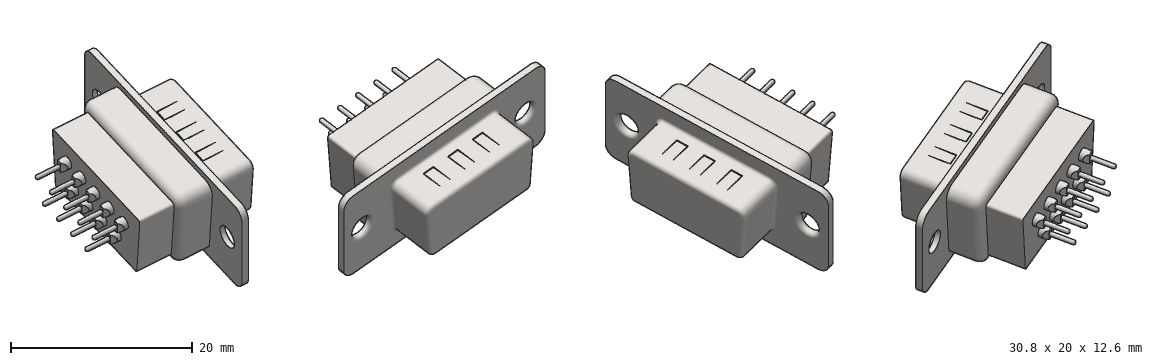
import cadquery as cq
import math


FLANGE_WIDTH = 30.8
FLANGE_HEIGHT = 12.55
FLANGE_THICKNESS = 0.85
FLANGE_CORNER = 1.48
MOUNT_HOLE_DIAMETER = 2.77
MOUNT_HOLE_SPACING = 25.0
MOUNT_HOLE_ROUNDING = 0.5

BODY_X = -0.05

D_SLOPE = math.radians(4.0)

SHELL_TOP_WIDTH = 16.5
SHELL_HEIGHT = 7.95
SHELL_LENGTH = 5.85
SHELL_TOP_CORNER = 1.02
SHELL_BOTTOM_CORNER = 0.75
SHELL_RIM_FILLET = 0.5
SHELL_ROOT_FILLET = 0.37

RECESS_COUNT = 3
RECESS_PITCH = 3.75
RECESS_WIDTH = 1.5
RECESS_LENGTH = 2.68
RECESS_START = 1.35
RECESS_DEPTH = 0.15

HOUSING_TOP_WIDTH = 19.5
HOUSING_HEIGHT = 10.9
HOUSING_LENGTH = 4.35
HOUSING_TOP_CORNER = 1.42
HOUSING_BOTTOM_CORNER = 1.3
HOUSING_FILLET = 1.08

INSULATOR_INSET = 1.1
INSULATOR_LENGTH = 4.62

PIN_PITCH = 2.77
ROW_SPACING = 3.08
UPPER_ROW_PINS = 5
LOWER_ROW_PINS = 4
HEAD_DIAMETER = 1.55
HEAD_LENGTH = 1.15
HEAD_BEVEL_START = 0.52
HEAD_BEVEL = 0.25
PIN_DIAMETER = 0.6
PIN_LENGTH = 3.15
TIP_FILLET = 0.28

FLANGE_REAR = -FLANGE_THICKNESS
HOUSING_REAR = FLANGE_REAR - HOUSING_LENGTH
INSULATOR_REAR = HOUSING_REAR - INSULATOR_LENGTH


def d_prism(top_width, height, top_corner, bottom_corner, y_rear, y_mating):
    """Solid of D-shaped section, wide side up, between y_rear and y_mating (the larger Y)."""
    half_top = top_width / 2
    half_bottom = half_top - height * math.tan(D_SLOPE)
    corners = [
        (-half_bottom, -height / 2),
        (half_bottom, -height / 2),
        (half_top, height / 2),
        (-half_top, height / 2),
    ]
    prism = (
        cq.Workplane("XZ", origin=(0, y_mating, 0))
        .polyline(corners)
        .close()
        .extrude(y_mating - y_rear)
    )
    prism = prism.edges("|Y").edges(">Z").fillet(top_corner)
    return prism.edges("|Y").edges("<Z").fillet(bottom_corner)


def make_flange():
    """Flange plate with two mounting holes rounded over on the mating side."""
    hole_x = MOUNT_HOLE_SPACING / 2
    plate = cq.Workplane("XZ").rect(FLANGE_WIDTH, FLANGE_HEIGHT).extrude(FLANGE_THICKNESS)
    plate = plate.edges("|Y").fillet(FLANGE_CORNER)
    holes = (
        cq.Workplane("XZ")
        .pushPoints([(-hole_x, 0), (hole_x, 0)])
        .circle(MOUNT_HOLE_DIAMETER / 2)
        .extrude(FLANGE_THICKNESS)
    )
    plate = plate.cut(holes)
    hole_rims = plate.faces(">Y").wires(cq.selectors.LengthNthSelector(0))
    return hole_rims.edges().fillet(MOUNT_HOLE_ROUNDING)


def make_shell():
    shell = d_prism(
        SHELL_TOP_WIDTH, SHELL_HEIGHT, SHELL_TOP_CORNER, SHELL_BOTTOM_CORNER, 0, SHELL_LENGTH
    )
    return shell.faces(">Y").edges().fillet(SHELL_RIM_FILLET)


def make_recesses():
    """Wedges that deepen from nothing at their +Y end to full depth near the flange."""
    top = SHELL_HEIGHT / 2
    wedge = (
        cq.Workplane("YZ")
        .moveTo(RECESS_START, top)
        .lineTo(RECESS_START, top - RECESS_DEPTH)
        .lineTo(RECESS_START + RECESS_LENGTH, top)
        .close()
        .extrude(RECESS_WIDTH / 2, both=True)
    )
    recesses = cq.Workplane("XY")
    for index in range(RECESS_COUNT):
        x = (index - (RECESS_COUNT - 1) / 2) * RECESS_PITCH
        recesses = recesses.add(wedge.translate((x, 0, 0)))
    return recesses.combine()


def make_housing():
    housing = d_prism(
        HOUSING_TOP_WIDTH,
        HOUSING_HEIGHT,
        HOUSING_TOP_CORNER,
        HOUSING_BOTTOM_CORNER,
        HOUSING_REAR,
        FLANGE_REAR,
    )
    return housing.faces("<Y").edges().fillet(HOUSING_FILLET)


def make_insulator():
    side_inset = INSULATOR_INSET * (math.tan(D_SLOPE) + 1 / math.cos(D_SLOPE))
    return d_prism(
        HOUSING_TOP_WIDTH - 2 * side_inset,
        HOUSING_HEIGHT - 2 * INSULATOR_INSET,
        HOUSING_TOP_CORNER - INSULATOR_INSET,
        HOUSING_BOTTOM_CORNER - INSULATOR_INSET,
        INSULATOR_REAR,
        HOUSING_REAR,
    )


def make_pin():
    """One pin along -Y from the origin: a head bevelled on both X sides, then a thin post."""
    head_radius = HEAD_DIAMETER / 2
    pin_radius = PIN_DIAMETER / 2
    bevel_end_x = head_radius - HEAD_BEVEL
    bevel_end_y = -(HEAD_BEVEL_START + HEAD_BEVEL)

    half_block = (
        cq.Workplane("XY")
        .lineTo(head_radius, 0)
        .lineTo(head_radius, -HEAD_BEVEL_START)
        .lineTo(bevel_end_x, bevel_end_y)
        .tangentArcPoint((pin_radius, -HEAD_LENGTH), relative=False)
        .lineTo(0, -HEAD_LENGTH)
        .close()
        .extrude(head_radius, both=True)
    )
    bevelled_block = half_block.union(half_block.mirror("YZ"))
    head = cq.Workplane("XZ").circle(head_radius).extrude(HEAD_LENGTH).intersect(bevelled_block)

    post = cq.Workplane("XZ").circle(pin_radius).extrude(HEAD_LENGTH + PIN_LENGTH)
    post = post.faces("<Y").edges().fillet(TIP_FILLET)
    return head.union(post)


def add_pin_row(body, pin, count, z):
    for index in range(count):
        x = BODY_X + (index - (count - 1) / 2) * PIN_PITCH
        body = body.union(pin.translate((x, INSULATOR_REAR, z)))
    return body


def root_edges(body):
    """Outline edges where the shell meets the mating face of the flange."""
    margin = 0.03
    reach_x = SHELL_TOP_WIDTH / 2 + margin
    reach_z = SHELL_HEIGHT / 2 + margin
    box = cq.selectors.BoxSelector(
        (BODY_X - reach_x, -margin, -reach_z),
        (BODY_X + reach_x, margin, reach_z),
    )
    return body.edges(box)


result = make_flange().union(make_shell().translate((BODY_X, 0, 0)))
result = root_edges(result).fillet(SHELL_ROOT_FILLET)
result = result.cut(make_recesses())

result = result.union(make_housing().translate((BODY_X, 0, 0)))
result = result.union(make_insulator().translate((BODY_X, 0, 0)))

pin = make_pin()
result = add_pin_row(result, pin, UPPER_ROW_PINS, ROW_SPACING / 2)
result = add_pin_row(result, pin, LOWER_ROW_PINS, -ROW_SPACING / 2)